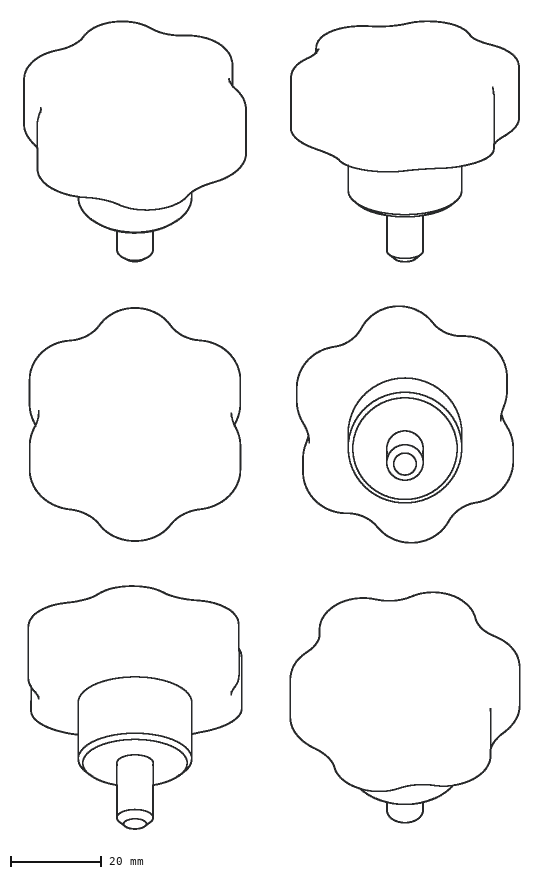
import cadquery as cq
import math

LOBE_COUNT = 6
GRIP_RADIUS = 25.35
LOBE_RADIUS = 9.3
NECK_RADIUS = 21.2

OVERALL_HEIGHT = 47.95
GRIP_BOTTOM = 29.9
HUB_BOTTOM = 15.0

DOME_DROP = 1.6
TOP_FILLET = 2.0
BOTTOM_FILLET = 0.8
UNDERSIDE_FLAT_DIAMETER = 36.5
UNDERSIDE_RISE = 1.95

ENVELOPE_MARGIN = 2.55

HUB_DIAMETER = 25.0
HUB_CHAMFER = 1.0
PIN_DIAMETER = 8.0
PIN_CHAMFER = 1.5


def polar(radius, angle):
    """Point in the XY plane at the given radius and angle in degrees."""
    return (radius * math.cos(math.radians(angle)), radius * math.sin(math.radians(angle)))


def lobed_prism():
    """Straight-sided prism with the lobed outline, with lobes on the Y axis."""
    pitch = 360.0 / LOBE_COUNT
    half_pitch = pitch / 2
    lobe_center_distance = GRIP_RADIUS - LOBE_RADIUS
    lobe_x, lobe_y = polar(lobe_center_distance, half_pitch)

    neck_gap = NECK_RADIUS - lobe_x
    valley_radius = (neck_gap**2 + lobe_y**2 - LOBE_RADIUS**2) / (2 * (LOBE_RADIUS - neck_gap))
    valley_center_distance = NECK_RADIUS + valley_radius

    fraction = LOBE_RADIUS / (LOBE_RADIUS + valley_radius)
    tangent_x = lobe_x + fraction * (valley_center_distance - lobe_x)
    tangent_y = lobe_y * (1 - fraction)
    tangent_distance = math.hypot(tangent_x, tangent_y)
    tangent_angle = math.degrees(math.atan2(tangent_y, tangent_x))

    outline = cq.Workplane("XY").workplane(offset=GRIP_BOTTOM)
    outline = outline.moveTo(*polar(tangent_distance, -tangent_angle))
    for index in range(LOBE_COUNT):
        valley_angle = index * pitch
        lobe_angle = valley_angle + half_pitch
        outline = outline.threePointArc(
            polar(NECK_RADIUS, valley_angle),
            polar(tangent_distance, valley_angle + tangent_angle),
        )
        outline = outline.threePointArc(
            polar(GRIP_RADIUS, lobe_angle),
            polar(tangent_distance, valley_angle + pitch - tangent_angle),
        )
    return outline.close().extrude(OVERALL_HEIGHT - GRIP_BOTTOM)


def grip_envelope():
    """Revolved body with a domed top and a conical underside around a flat."""
    flat_radius = UNDERSIDE_FLAT_DIAMETER / 2
    envelope_radius = GRIP_RADIUS + ENVELOPE_MARGIN
    cone_slope = UNDERSIDE_RISE / (GRIP_RADIUS - flat_radius)
    cone_rim_height = GRIP_BOTTOM + cone_slope * (envelope_radius - flat_radius)

    dome_radius = (GRIP_RADIUS**2 + DOME_DROP**2) / (2 * DOME_DROP)
    dome_center = OVERALL_HEIGHT - dome_radius

    def dome_height(radius):
        return dome_center + math.sqrt(dome_radius**2 - radius**2)

    middle_radius = envelope_radius / 2
    return (
        cq.Workplane("XZ")
        .moveTo(0, GRIP_BOTTOM)
        .lineTo(flat_radius, GRIP_BOTTOM)
        .lineTo(envelope_radius, cone_rim_height)
        .lineTo(envelope_radius, dome_height(envelope_radius))
        .threePointArc((middle_radius, dome_height(middle_radius)), (0, OVERALL_HEIGHT))
        .close()
        .revolve(360, (0, 0), (0, 1))
    )


def grip():
    """Lobed grip with its top and bottom rims rounded."""
    body = lobed_prism().intersect(grip_envelope())
    body = body.faces(">Z").edges().fillet(TOP_FILLET)
    underside_rim = body.faces("%CONE").edges("not <Z")
    return underside_rim.fillet(BOTTOM_FILLET)


def hub():
    """Round hub below the grip."""
    return (
        cq.Workplane("XY")
        .workplane(offset=HUB_BOTTOM)
        .circle(HUB_DIAMETER / 2)
        .extrude(GRIP_BOTTOM - HUB_BOTTOM)
        .faces("<Z")
        .chamfer(HUB_CHAMFER)
    )


def pin():
    """Pin below the hub."""
    return (
        cq.Workplane("XY")
        .circle(PIN_DIAMETER / 2)
        .extrude(HUB_BOTTOM)
        .faces("<Z")
        .chamfer(PIN_CHAMFER)
    )


result = grip().union(hub()).union(pin())